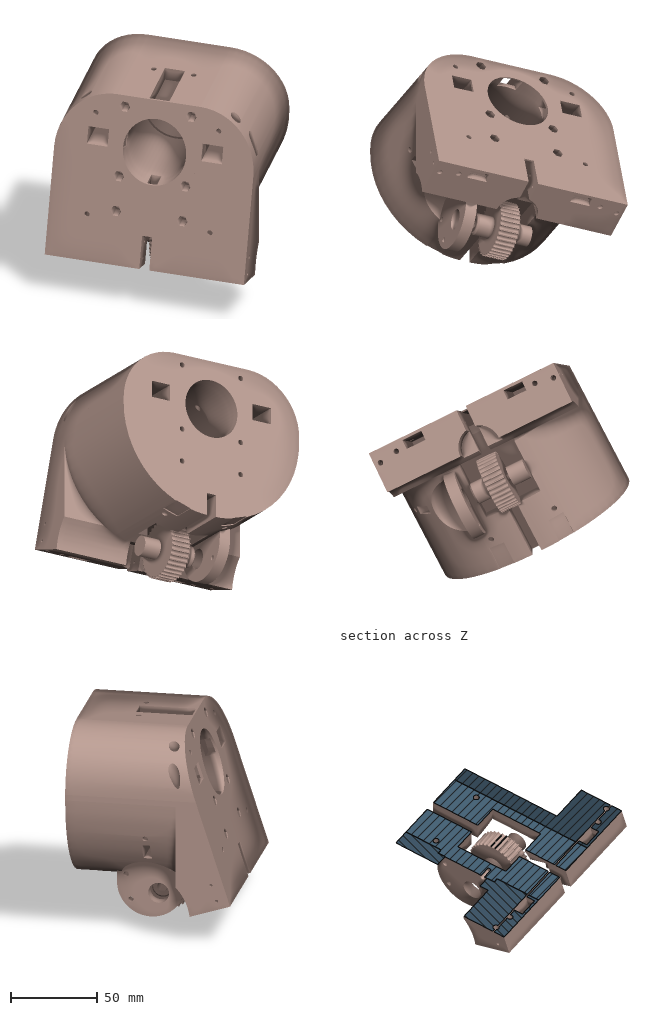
import cadquery as cq
import math

HALF_WIDTH = 60.0
SEAM_X = 25.0
TOP_Z = 29.65
CORNER_RADIUS = 35.0
TOP_DEPTH = 65.7
SHELL_DEPTH = 65.0
SLANT = math.radians(18)
TOTAL_DEPTH = 97.31
SHELL_TOP_DROP = 38.4
SHELL_RADIUS = 58.1
PANEL_THICKNESS = 25.1
ARC_START_DROP = 87.5
ARC_BULGE = 1.6

PANEL_RUN = TOTAL_DEPTH - TOP_DEPTH
PANEL_LENGTH = PANEL_RUN / math.sin(SLANT)
PANEL_BOTTOM_Z = TOP_Z - PANEL_LENGTH * math.cos(SLANT)
SHELL_Z = TOP_Z - SHELL_TOP_DROP
SHELL_BOTTOM_Z = SHELL_Z - SHELL_RADIUS
OVERCUT = 1.0
LONG = 300.0

BORE_RADIUS = 38.0 / 2
REAR_BORE_RADIUS = 35.5 / 2
REAR_BORE_LENGTH = 30.0

SCREW_DIAMETER = 3.2
NUT_FLATS = 5.5
NUT_CORNERS = NUT_FLATS / math.cos(math.radians(30))
NUT_X = 20.0
NUT_ROWS_Z = (23.2, -16.8, -36.8)
NUT_DEPTH = 6.0

CHANNEL_FRONT = 1.0
CHANNEL_BACK = 10.0
GEAR_SLOT_WIDTH = 6.0
GEAR_SLOT_TOP = 82.2
GEAR_SLOT_DEPTH = 16.0
CROSS_PIN_DIAMETER = 1.8
CROSS_PIN_POSITIONS = ((-86.0, -55.4), (-89.4, -64.9))

POCKET_WIDTH = 12.0
POCKET_BACK_Y = -31.5
POCKET_FRONT_Y = -64.7
POCKET_DEPTH = 8.0
POCKET_SCREW_X = 12.0
POCKET_SCREW_Y = -34.2

REAR_FLAT_WIDTH = 10.0
REAR_FLAT_LENGTH = 13.8
REAR_FLAT_DEPTH = 0.4
REAR_FLAT_TILT = 17.5
REAR_SCREW_X = 20.5
REAR_SCREW_Y = -18.3
REAR_SCREW_TOP_Z = SHELL_BOTTOM_Z + 12.0

GEAR_TEETH = 36
GEAR_RADIUS = 16.9
GEAR_ROOT_RADIUS = 15.7
FIRST_TOOTH_ANGLE = 3.0
TIP_HALF_ANGLE = 1.0
GEAR_WIDTH = 12.0
GEAR_Y = -49.1
GEAR_Z = TOP_Z - 119.23 + GEAR_RADIUS
HUB_DIAMETER = 13.0
HUB_LENGTH = 10.2
HUB_CHAMFER = 1.0
SHAFT_DIAMETER = 6.0
SHAFT_FLAT = 2.5
STUB_DIAMETER = 4.0
COLLAR_DIAMETER = 12.0
COLLAR_START_X = 7.6
COLLAR_END_X = 18.3

MOTOR_OFFSET = 7.0
MOTOR_OFFSET_ANGLE = math.radians(49)
MOTOR_Y = GEAR_Y + MOTOR_OFFSET * math.cos(MOTOR_OFFSET_ANGLE)
MOTOR_Z = GEAR_Z + MOTOR_OFFSET * math.sin(MOTOR_OFFSET_ANGLE)
MOTOR_DIAMETER = 37.0
MOTOR_SCREW_CIRCLE = 31.0
MOTOR_SCREW_DIAMETER = 3.0
MOTOR_SCREW_ANGLES = (-40.5, 19.5, 79.5, 139.5)
MOTOR_BOSS_DIAMETER = 12.2

LUG_OUTER_X = -28.0
LUG_INNER_X = -21.0
LUG_RADIUS = 20.0
LUG_TOP_Z = MOTOR_Z + MOTOR_DIAMETER / 2 + OVERCUT

CHAMBER_TOP_Z = -53.2
CHAMBER_BACK_Y = -31.5
CHAMBER_LEFT_X = -17.0
RELIEF_DIAMETER = 25.0
RELIEF_HEIGHT = 14.0

WINDOW_X = 34.4
WINDOW_WIDTH = 12.4
WINDOW_BOTTOM_Z = -1.0
WINDOW_TOP_Z = 9.0
SLIT_X = 32.8
SLIT_WIDTH = 12.2
SLIT_FRONT = 1.7
SLIT_BACK = 7.4
SLIT_TOP = PANEL_LENGTH - 40.0
WING_SCREW_X = 37.0
WING_SCREW_DROPS = (12.9, 74.3)
WING_SCREW_DEPTH = 10.0
BOLT_POSITIONS = ((45.0, 6.0), (56.2, 7.9))
BOLT_HEAD_DIAMETER = 6.0
BOLT_HEAD_FLOOR = PANEL_LENGTH - 60.0

PASSAGE_TOP = 21.6
PASSAGE_BOTTOM = 32.0
PASSAGE_FRONT = 1.7
PASSAGE_BACK = 8.2

WIRE_Y = -46.3
WIRE_HOLE_Z = -30.9
WIRE_SLOT_WIDTH = 5.0
WIRE_SLOT_BOTTOM_Z = -45.6
WIRE_SLOT_TOP_Z = -35.6


def block(x_range, y_range, z_range):
    """Box given by its limits along X, Y and Z."""
    size = [abs(limits[1] - limits[0]) for limits in (x_range, y_range, z_range)]
    corner = (min(x_range), min(y_range), min(z_range))
    return cq.Workplane("XY").box(*size, centered=False).translate(corner)


def rod_x(diameter, y, z, x_start, x_end):
    """Cylinder along X."""
    base = cq.Workplane("YZ", origin=(x_start, y, z))
    return base.circle(diameter / 2).extrude(x_end - x_start)


def rod_y(radius, x, z, y_start, y_end):
    """Cylinder along Y, from y_start back to y_end."""
    base = cq.Workplane("XZ", origin=(x, y_end, z))
    return base.circle(radius).extrude(y_end - y_start)


def rod_z(diameter, x, y, z_start, z_end):
    """Cylinder along Z."""
    base = cq.Workplane("XY", origin=(x, y, z_start))
    return base.circle(diameter / 2).extrude(z_end - z_start)


def panel_plane():
    """Plane on the slanted front face: origin at its top edge, local Y up the face, Z outwards."""
    normal = (0, -math.cos(SLANT), math.sin(SLANT))
    return cq.Plane(origin=(0, -TOP_DEPTH, TOP_Z), xDir=(1, 0, 0), normal=normal)


def panel_block(x, width, drops, depths):
    """Box square to the panel, between two drops down its face and two depths behind it."""
    height = drops[1] - drops[0]
    base = cq.Workplane(panel_plane()).workplane(offset=-depths[1])
    return base.center(x, -sum(drops) / 2).rect(width, height).extrude(depths[1] - depths[0])


def panel_hole(diameter, x, drop, depth):
    """Round cutter square to the panel face."""
    base = cq.Workplane(panel_plane()).workplane(offset=-depth)
    return base.center(x, -drop).circle(diameter / 2).extrude(depth + OVERCUT)


def panel_rod(diameter, x, depth, drops):
    """Cylinder running down inside the panel, parallel to its face."""
    face = panel_plane()
    start = face.toWorldCoords((x, -drops[0], -depth))
    down = (-face.yDir).toTuple()
    base = cq.Workplane(cq.Plane(origin=start, xDir=(1, 0, 0), normal=down))
    return base.circle(diameter / 2).extrude(drops[1] - drops[0])


def shell_outline():
    """Cross-section behind the panel: round top corners and a round underside."""
    diagonal = math.sqrt(0.5)
    corner_x = HALF_WIDTH - CORNER_RADIUS
    corner_z = TOP_Z - CORNER_RADIUS
    under_x = HALF_WIDTH - SHELL_RADIUS
    corner_mid = (corner_x + CORNER_RADIUS * diagonal, corner_z + CORNER_RADIUS * diagonal)
    under_mid = (under_x + SHELL_RADIUS * diagonal, SHELL_Z - SHELL_RADIUS * diagonal)
    return (
        cq.Workplane("XZ")
        .moveTo(-corner_x, TOP_Z)
        .lineTo(corner_x, TOP_Z)
        .threePointArc(corner_mid, (HALF_WIDTH, corner_z))
        .lineTo(HALF_WIDTH, SHELL_Z)
        .threePointArc(under_mid, (under_x, SHELL_BOTTOM_Z))
        .lineTo(-under_x, SHELL_BOTTOM_Z)
        .threePointArc((-under_mid[0], under_mid[1]), (-HALF_WIDTH, SHELL_Z))
        .lineTo(-HALF_WIDTH, corner_z)
        .threePointArc((-corner_mid[0], corner_mid[1]), (-corner_x, TOP_Z))
        .close()
    )


def panel_outline():
    """Side profile of the slanted panel with its concave back arc around the gear."""
    bottom_back = (
        -TOTAL_DEPTH + PANEL_THICKNESS * math.cos(SLANT),
        PANEL_BOTTOM_Z - PANEL_THICKNESS * math.sin(SLANT),
    )
    arc_start = (-SHELL_DEPTH, TOP_Z - ARC_START_DROP)
    run = (bottom_back[0] - arc_start[0], bottom_back[1] - arc_start[1])
    chord = math.hypot(*run)
    arc_mid = (
        (arc_start[0] + bottom_back[0]) / 2 + ARC_BULGE * run[1] / chord,
        (arc_start[1] + bottom_back[1]) / 2 - ARC_BULGE * run[0] / chord,
    )
    return (
        cq.Workplane("YZ", origin=(-HALF_WIDTH, 0, 0))
        .moveTo(-SHELL_DEPTH, TOP_Z)
        .lineTo(-TOP_DEPTH, TOP_Z)
        .lineTo(-TOTAL_DEPTH, PANEL_BOTTOM_Z)
        .lineTo(*bottom_back)
        .threePointArc(arc_mid, arc_start)
        .close()
    )


def rounded_top():
    """Prism that gives the panel the same round top corners as the shell."""
    prism = block((-HALF_WIDTH, HALF_WIDTH), (-LONG, LONG), (-LONG, TOP_Z))
    return prism.edges("|Y and >Z").fillet(CORNER_RADIUS)


def envelope():
    shell = shell_outline().extrude(SHELL_DEPTH)
    panel = panel_outline().extrude(2 * HALF_WIDTH).intersect(rounded_top())
    return shell.union(panel)


def cross_pins():
    """Thin pin holes through the full width of the panel."""
    pins = cq.Workplane("XY")
    for y, z in CROSS_PIN_POSITIONS:
        pins = pins.add(rod_x(CROSS_PIN_DIAMETER, y, z, -LONG, LONG))
    return pins.combine()


def cable_passage():
    """Passage across the panel that joins both windows to the lens bore."""
    width = 2 * WINDOW_X - WINDOW_WIDTH
    return panel_block(0, width, (PASSAGE_TOP, PASSAGE_BOTTOM), (PASSAGE_FRONT, PASSAGE_BACK))


HOUSING = envelope().cut(cross_pins()).cut(cable_passage())


def lug(x_start, x_end):
    """Motor mounting lug: round below, straight-sided up into the shell."""
    disc = rod_x(2 * LUG_RADIUS, MOTOR_Y, MOTOR_Z, x_start, x_end)
    sides = (MOTOR_Y - LUG_RADIUS, MOTOR_Y + LUG_RADIUS)
    return disc.union(block((x_start, x_end), sides, (MOTOR_Z, LUG_TOP_Z)))


def cut_lens_bore(body):
    body = body.cut(rod_y(BORE_RADIUS, 0, 0, -LONG, -REAR_BORE_LENGTH))
    return body.cut(rod_y(REAR_BORE_RADIUS, 0, 0, -LONG, OVERCUT))


def cut_nut_screws(body):
    """Six screw holes along Y, each with a hexagonal nut recess from the panel face."""
    for z in NUT_ROWS_Z:
        face_y = -TOP_DEPTH - (TOP_Z - z) * math.tan(SLANT)
        for x in (-NUT_X, NUT_X):
            nut = cq.Workplane("XZ", origin=(x, face_y + NUT_DEPTH, z))
            body = body.cut(nut.polygon(6, NUT_CORNERS).extrude(LONG))
            body = body.cut(rod_y(SCREW_DIAMETER / 2, x, z, -LONG, LONG))
    return body


def cut_top_pocket(body):
    """Pocket in the top, continued by a slanted channel into the bore, with two screw holes."""
    half = POCKET_WIDTH / 2
    floor_z = TOP_Z - POCKET_DEPTH
    bore_drop = TOP_Z / math.cos(SLANT)
    body = body.cut(block((-half, half), (POCKET_FRONT_Y, POCKET_BACK_Y), (floor_z, LONG)))
    channel = panel_block(0, POCKET_WIDTH, (0, bore_drop), (CHANNEL_FRONT, CHANNEL_BACK))
    body = body.cut(channel)
    for x in (-POCKET_SCREW_X, POCKET_SCREW_X):
        body = body.cut(rod_z(SCREW_DIAMETER, x, POCKET_SCREW_Y, 0, LONG))
    return body


def cut_gear_space(body):
    """Room for the gear train: chamber, slot from front to rear, channel up to the bore."""
    half = GEAR_SLOT_WIDTH / 2
    bore_drop = TOP_Z / math.cos(SLANT)
    chamber_x = (CHAMBER_LEFT_X, COLLAR_END_X)
    body = body.cut(block(chamber_x, (-SHELL_DEPTH, CHAMBER_BACK_Y), (-LONG, CHAMBER_TOP_Z)))
    body = body.cut(block((-half, half), (-LONG, LONG), (-LONG, CHAMBER_TOP_Z)))
    channel_drops = (bore_drop, GEAR_SLOT_TOP + OVERCUT)
    body = body.cut(panel_block(0, GEAR_SLOT_WIDTH, channel_drops, (CHANNEL_FRONT, CHANNEL_BACK)))
    slot_drops = (GEAR_SLOT_TOP, PANEL_LENGTH + OVERCUT)
    body = body.cut(panel_block(0, GEAR_SLOT_WIDTH, slot_drops, (-OVERCUT, GEAR_SLOT_DEPTH)))
    relief_drops = (PANEL_LENGTH - RELIEF_HEIGHT, PANEL_LENGTH + OVERCUT)
    return body.cut(panel_rod(RELIEF_DIAMETER, 0, PANEL_THICKNESS, relief_drops))


def cut_rear_underside(body):
    """Flats open to the rear face and screw holes, both from below."""
    half = REAR_FLAT_WIDTH / 2
    flat_z = REAR_FLAT_DEPTH - math.sqrt(SHELL_RADIUS ** 2 - half ** 2)
    cutter = block((-half, half), (-REAR_FLAT_LENGTH, OVERCUT), (flat_z - OVERCUT, flat_z))
    for side in (-1, 1):
        tilted = cutter.rotate((0, 0, 0), (0, 1, 0), -side * REAR_FLAT_TILT)
        body = body.cut(tilted.translate((side * (HALF_WIDTH - SHELL_RADIUS), 0, SHELL_Z)))
        screw_x = side * REAR_SCREW_X
        body = body.cut(rod_z(SCREW_DIAMETER, screw_x, REAR_SCREW_Y, -LONG, REAR_SCREW_TOP_Z))
    return body


def cut_motor_mount(body):
    """Boss hole and screw holes through the lug."""
    body = body.cut(rod_x(MOTOR_BOSS_DIAMETER, GEAR_Y, GEAR_Z, LUG_OUTER_X, CHAMBER_LEFT_X))
    for angle in MOTOR_SCREW_ANGLES:
        y = MOTOR_Y + MOTOR_SCREW_CIRCLE / 2 * math.cos(math.radians(angle))
        z = MOTOR_Z + MOTOR_SCREW_CIRCLE / 2 * math.sin(math.radians(angle))
        body = body.cut(rod_x(MOTOR_SCREW_DIAMETER, y, z, LUG_OUTER_X, LUG_INNER_X))
    return body


def make_centre_block():
    body = HOUSING.intersect(block((-SEAM_X, SEAM_X), (-LONG, LONG), (-LONG, LONG)))
    body = cut_lens_bore(body)
    body = cut_nut_screws(body)
    body = cut_top_pocket(body)
    body = cut_gear_space(body)
    body = cut_rear_underside(body)
    body = body.union(lug(LUG_OUTER_X, LUG_INNER_X))
    return cut_motor_mount(body)


def make_wing(side):
    """Outer part of the housing; side is -1 for left and +1 for right."""
    wing = HOUSING.intersect(block((side * SEAM_X, side * LONG), (-LONG, LONG), (-LONG, LONG)))
    window_x = (side * WINDOW_X - WINDOW_WIDTH / 2, side * WINDOW_X + WINDOW_WIDTH / 2)
    wing = wing.cut(block(window_x, (-LONG, LONG), (WINDOW_BOTTOM_Z, WINDOW_TOP_Z)))
    slit_drops = (SLIT_TOP, PANEL_LENGTH + OVERCUT)
    wing = wing.cut(panel_block(side * SLIT_X, SLIT_WIDTH, slit_drops, (SLIT_FRONT, SLIT_BACK)))
    for drop in WING_SCREW_DROPS:
        wing = wing.cut(panel_hole(SCREW_DIAMETER, side * WING_SCREW_X, drop, WING_SCREW_DEPTH))
    for x, depth in BOLT_POSITIONS:
        wing = wing.cut(panel_rod(SCREW_DIAMETER, side * x, depth, (0, LONG)))
        wing = wing.cut(panel_rod(BOLT_HEAD_DIAMETER, side * x, depth, (-OVERCUT, BOLT_HEAD_FLOOR)))
    return wing


def cut_motor_bay(wing):
    """Openings only in the left wing: motor bore, seat for the lug and wire openings."""
    wing = wing.cut(rod_x(MOTOR_DIAMETER, MOTOR_Y, MOTOR_Z, -LONG, LUG_OUTER_X))
    wing = wing.cut(lug(LUG_OUTER_X, LUG_INNER_X))
    wing = wing.cut(rod_x(SCREW_DIAMETER, WIRE_Y, WIRE_HOLE_Z, -LONG, -SEAM_X))
    slot_y = (WIRE_Y - WIRE_SLOT_WIDTH / 2, WIRE_Y + WIRE_SLOT_WIDTH / 2)
    slot_z = (WIRE_SLOT_BOTTOM_Z, WIRE_SLOT_TOP_Z)
    return wing.cut(block((-LONG, -SEAM_X), slot_y, slot_z))


def gear_outline(plane):
    """Toothed outline centred on the gear axis: narrow tooth tips with round gaps between them."""
    def point(radius, degrees):
        angle = math.radians(degrees)
        return (radius * math.cos(angle), radius * math.sin(angle))

    pitch = 360 / GEAR_TEETH
    outline = plane.moveTo(*point(GEAR_RADIUS, FIRST_TOOTH_ANGLE - TIP_HALF_ANGLE))
    for tooth in range(GEAR_TEETH):
        tip = FIRST_TOOTH_ANGLE + tooth * pitch
        gap = point(GEAR_ROOT_RADIUS, tip + pitch / 2)
        next_tip = point(GEAR_RADIUS, tip + pitch - TIP_HALF_ANGLE)
        outline = outline.lineTo(*point(GEAR_RADIUS, tip + TIP_HALF_ANGLE))
        outline = outline.threePointArc(gap, next_tip)
    return outline.close()


def make_gear():
    """Gear with a chamfered hub, a D-shaped motor bore and a stub shaft."""
    face_x = GEAR_WIDTH / 2
    hub_x = -face_x - HUB_LENGTH
    base = cq.Workplane("YZ", origin=(-face_x, GEAR_Y, GEAR_Z))
    wheel = gear_outline(base).extrude(GEAR_WIDTH)
    hub = rod_x(HUB_DIAMETER, GEAR_Y, GEAR_Z, hub_x, -face_x).faces("<X").chamfer(HUB_CHAMFER)
    stub = rod_x(STUB_DIAMETER, GEAR_Y, GEAR_Z, face_x, COLLAR_END_X)
    shaft = rod_x(SHAFT_DIAMETER, GEAR_Y, GEAR_Z, hub_x, -face_x)
    shaft = shaft.intersect(block((-LONG, LONG), (-LONG, LONG), (GEAR_Z - SHAFT_FLAT, LONG)))
    return wheel.union(hub).union(stub).cut(shaft)


def make_collar():
    """Plain bearing collar on the stub shaft."""
    collar = rod_x(COLLAR_DIAMETER, GEAR_Y, GEAR_Z, COLLAR_START_X, COLLAR_END_X)
    return collar.cut(rod_x(STUB_DIAMETER, GEAR_Y, GEAR_Z, COLLAR_START_X, COLLAR_END_X))


centre_block = make_centre_block()
left_wing = cut_motor_bay(make_wing(-1))
right_wing = make_wing(1)
gear = make_gear()
collar = make_collar()

bodies = (centre_block, left_wing, right_wing, gear, collar)
result = cq.Compound.makeCompound([body.solids().val() for body in bodies])